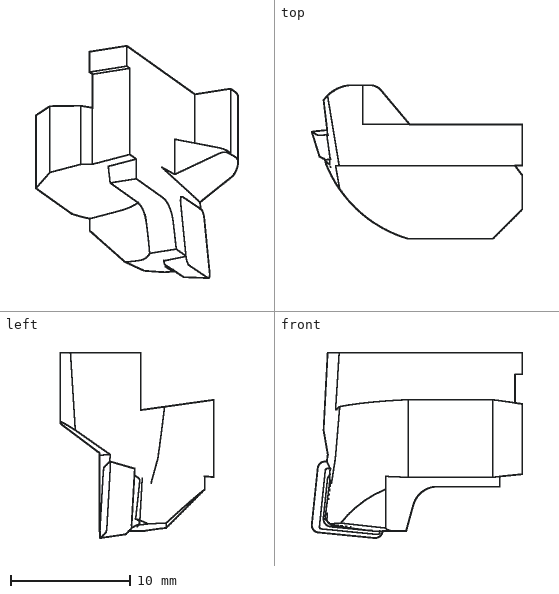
import cadquery as cq
import math

LENGTH = 17.68
DEPTH = 12.9
HEIGHT = 15.55

NOSE_RADIUS = 10.7
NOSE_CENTER = (11.14, 10.25)
FRONT_CHAMFER = 2.48
TONGUE_FRONT_Y = 6.13
TONGUE_BACK_Y = 9.6
BOSS_LEFT_RADIUS = NOSE_CENTER[0] - NOSE_RADIUS + 2.56
BOSS_RIGHT_RADIUS = 2.5 / 2
BOSS_FOOT_X = 8.24
BOSS_RIGHT_ANGLE = 50.0

SHOULDER_FRONT_Z = 11.62
SHOULDER_SLOPE = 0.14
BOSS_STEP_X = 4.28

END_RELIEF = 0.6
END_RELIEF_TOP_Z = 13.74
END_CORNER_LENGTH = 0.8

FLANK_POINT = (2.0, 4.69, 6.68)
UPPER_FLANK_TURN = 9.4
UPPER_FLANK_TILT = 3.6
LOWER_FLANK_TURN = 9.7
LOWER_FLANK_TILT = 6.2

CLEARANCE_SLOPE = 0.11
LOWEST_Z = 0.58
BLADE_RIGHT_X = 6.22
BLADE_CORNER = (BLADE_RIGHT_X, 4.01, 0.85)
SEAT_CHAMFER_POINT = (1.17, 6.25, 1.57)
BODY_UNDERSIDE_Z = 5.11
BODY_UNDERSIDE_SLOPE = 0.1
RECESS_BACK_Y = 7.64
RECESS_RADIUS = 3.54
RECESS_DRAFT = 7.0
BLADE_TOE_X = 7.94
BLADE_BACK_ANGLE = 74.7
BLADE_ROOT_RADIUS = 2.07
RAIL_BOTTOM_Z = 4.31
RAIL_END_X = 15.8

BOSS_UNDERSIDE_POINT = (0.99, 11.62, 9.05)
BOSS_UNDERSIDE_SLOPE_X = -0.072
BOSS_UNDERSIDE_SLOPE_Y = 0.69

INSERT_CORNER = (-0.05, 9.0, 0.53)
INSERT_SIDE = 6.01
INSERT_THICKNESS = 2.12
INSERT_CORNER_RADIUS = 0.64
INSERT_RELIEF = 12.0
INSERT_LEAN = 6.0
INSERT_RAKE_X = 3.8
INSERT_RAKE_Z = 5.4
PAD_INSET = 0.7
PAD_HEIGHT = 0.7
PAD_TAPER = 18.0
PAD_RADIUS = 0.7

REACH = 53.04


def half_space(point, outward):
    """Everything on the side of a plane that `outward` points to."""
    plane = cq.Plane(origin=point, xDir=cq.Vector(outward).cross(cq.Vector(1, 2, 3)), normal=outward)
    return cq.Workplane(plane).rect(REACH, REACH).extrude(REACH)


def cut_block(x_min, x_max, y_min, y_max, z_min, z_max):
    """A box between the given limits."""
    size = (x_max - x_min, y_max - y_min, z_max - z_min)
    return cq.Workplane("XY").box(*size, centered=False).translate((x_min, y_min, z_min))


def insert_placed(shape):
    """Turn the insert to its lean and rake angles and move it to its corner."""
    shape = shape.rotate((0, 0, 0), (0, 1, 0), INSERT_LEAN)
    shape = shape.rotate((0, 0, 0), (0, 0, 1), INSERT_RAKE_Z)
    shape = shape.rotate((0, 0, 0), (1, 0, 0), INSERT_RAKE_X)
    return shape.translate(INSERT_CORNER)


def make_insert():
    """Square insert that tapers away from its rake face, with a locating pad behind."""
    middle = INSERT_SIDE / 2
    plate = (
        cq.Workplane("XZ")
        .center(middle, middle)
        .sketch()
        .rect(INSERT_SIDE, INSERT_SIDE)
        .vertices()
        .fillet(INSERT_CORNER_RADIUS)
        .finalize()
        .extrude(INSERT_THICKNESS, taper=INSERT_RELIEF)
    )
    pad_side = INSERT_SIDE - 2 * PAD_INSET
    pad = (
        cq.Workplane("XZ", origin=(0, -INSERT_THICKNESS, 0))
        .center(middle, middle)
        .sketch()
        .rect(pad_side, pad_side)
        .vertices()
        .fillet(PAD_RADIUS)
        .finalize()
        .extrude(PAD_HEIGHT, taper=PAD_TAPER)
    )
    return insert_placed(plate.union(pad))


def holder_blank():
    """Full-height block with the rounded nose, the front chamfer and the boss at the back."""
    nose_x, nose_y = NOSE_CENTER
    left_x = nose_x - NOSE_RADIUS
    nose_end_x = nose_x - math.sqrt(NOSE_RADIUS**2 - nose_y**2)
    nose_mid = (nose_x - NOSE_RADIUS * math.cos(math.pi / 5), nose_y - NOSE_RADIUS * math.sin(math.pi / 5))
    boss_run = (DEPTH - TONGUE_BACK_Y) / math.tan(math.radians(BOSS_RIGHT_ANGLE))
    boss_right_x = BOSS_FOOT_X - boss_run
    blank = (
        cq.Workplane("XY")
        .moveTo(left_x, nose_y)
        .threePointArc(nose_mid, (nose_end_x, 0))
        .lineTo(LENGTH - FRONT_CHAMFER, 0)
        .lineTo(LENGTH, FRONT_CHAMFER)
        .lineTo(LENGTH, TONGUE_BACK_Y)
        .lineTo(BOSS_FOOT_X, TONGUE_BACK_Y)
        .lineTo(boss_right_x, DEPTH)
        .lineTo(left_x, DEPTH)
        .close()
        .extrude(HEIGHT)
    )
    blank = blank.edges(cq.NearestToPointSelector((left_x, DEPTH, HEIGHT / 2))).fillet(BOSS_LEFT_RADIUS)
    return blank.edges(cq.NearestToPointSelector((boss_right_x, DEPTH, HEIGHT / 2))).fillet(BOSS_RIGHT_RADIUS)


def shoulder_cut():
    """Space above the sloping shoulders, in front of the tongue and beside the boss."""
    above = half_space((0, 0, SHOULDER_FRONT_Z), (0, SHOULDER_SLOPE, 1))
    front = cut_block(-REACH, REACH, -REACH, TONGUE_FRONT_Y, 0, REACH)
    beside_boss = cut_block(BOSS_STEP_X, REACH, TONGUE_BACK_Y, REACH, 0, REACH)
    return above.intersect(front.union(beside_boss))


def end_relief_cut():
    """Step at the right end below the tongue's head, with a slanted front corner."""
    relief_x = LENGTH - END_RELIEF
    return (
        cq.Workplane("XY")
        .moveTo(relief_x, REACH)
        .lineTo(relief_x, TONGUE_FRONT_Y)
        .lineTo(LENGTH, TONGUE_FRONT_Y - END_CORNER_LENGTH)
        .lineTo(REACH, TONGUE_FRONT_Y - END_CORNER_LENGTH)
        .lineTo(REACH, REACH)
        .close()
        .extrude(END_RELIEF_TOP_Z)
    )


def left_of_flank(turn, tilt):
    """Space left of a flank plane, which is turned in plan and leans out toward the bottom."""
    return half_space(FLANK_POINT, (-1, -math.tan(math.radians(turn)), math.tan(math.radians(tilt))))


def flank_cut():
    """Space left of the two flank planes, which meet in a shallow inward bend."""
    return left_of_flank(UPPER_FLANK_TURN, UPPER_FLANK_TILT).intersect(
        left_of_flank(LOWER_FLANK_TURN, LOWER_FLANK_TILT)
    )


def back_cut():
    """Space below the boss, behind the tongue's back face and behind the rake plane."""
    below_boss = half_space(BOSS_UNDERSIDE_POINT, (BOSS_UNDERSIDE_SLOPE_X, BOSS_UNDERSIDE_SLOPE_Y, -1))
    behind_tongue = half_space((0, TONGUE_BACK_Y, 0), (0, 1, 0))
    behind_rake = insert_placed(half_space((0, 0, 0), (0, 1, 0)))
    return below_boss.intersect(behind_tongue.union(behind_rake))


def below_body():
    """Space under the gently sloping underside of the front body."""
    return half_space((0, 0, BODY_UNDERSIDE_Z), (0, BODY_UNDERSIDE_SLOPE, -1))


def recess_cut():
    """Recess right of the blade under the front body, with a drafted back wall and a round corner."""
    recess = cut_block(BLADE_RIGHT_X, REACH, -REACH, RECESS_BACK_Y, -HEIGHT, HEIGHT)
    recess = recess.edges(cq.NearestToPointSelector((BLADE_RIGHT_X, RECESS_BACK_Y, 0))).fillet(RECESS_RADIUS)
    hinge = (0, RECESS_BACK_Y, LOWEST_Z)
    recess = recess.rotate(hinge, (1, RECESS_BACK_Y, LOWEST_Z), RECESS_DRAFT)
    return recess.intersect(below_body())


def blade_back_cut():
    """Space right of the blade's sloping back edge and under the rail, with a round root."""
    root_x = BLADE_TOE_X + (RAIL_BOTTOM_Z - LOWEST_Z) / math.tan(math.radians(BLADE_BACK_ANGLE))
    profile = (
        cq.Workplane("XZ", origin=(0, -REACH, 0))
        .moveTo(BLADE_TOE_X, LOWEST_Z)
        .lineTo(root_x, RAIL_BOTTOM_Z)
        .lineTo(REACH, RAIL_BOTTOM_Z)
        .lineTo(REACH, LOWEST_Z)
        .close()
        .extrude(-2 * REACH)
    )
    return profile.edges(cq.NearestToPointSelector((root_x, 0, RAIL_BOTTOM_Z))).fillet(BLADE_ROOT_RADIUS)


def make_holder(insert):
    """Tool holder with the seat for the insert."""
    holder = holder_blank()
    holder = holder.cut(shoulder_cut())
    holder = holder.cut(end_relief_cut())
    holder = holder.cut(flank_cut())
    holder = holder.cut(back_cut())
    holder = holder.cut(recess_cut())
    holder = holder.cut(blade_back_cut())
    holder = holder.cut(below_body().intersect(half_space((RAIL_END_X, 0, 0), (1, 0, 0))))
    holder = holder.cut(half_space((0, 0, LOWEST_Z), (0, 0, -1)))
    holder = holder.cut(half_space(BLADE_CORNER, (-CLEARANCE_SLOPE, -CLEARANCE_SLOPE, -1)))
    blade = half_space(BLADE_CORNER, (-CLEARANCE_SLOPE, -1, -1))
    holder = holder.cut(blade.intersect(half_space((BLADE_RIGHT_X, 0, 0), (-1, 0, 0))))
    holder = holder.cut(half_space(SEAT_CHAMFER_POINT, (-1, 0, -1)))
    return holder.cut(insert)


insert = make_insert()
holder = make_holder(insert)

result = cq.Compound.makeCompound([holder.val(), insert.val()])